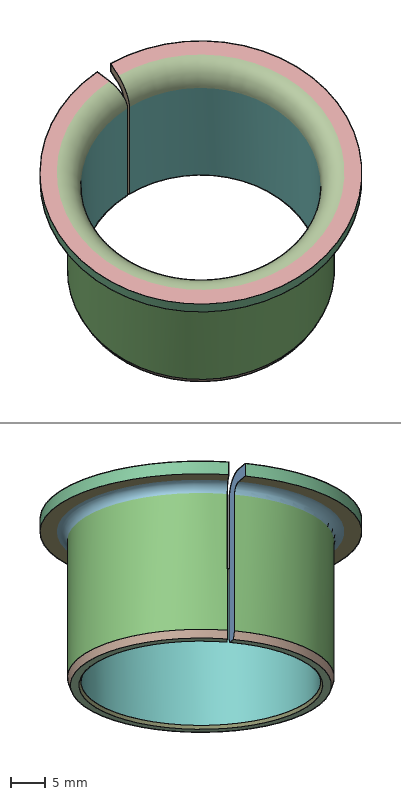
import cadquery as cq
import math

bore_diameter = 35.0
wall = 2.0
flange_diameter = 47.0
length = 26.0
inner_bend_radius = 3.5
chamfer_height = 1.2
chamfer_angle = 20.0
bore_chamfer_height = 0.5
bore_chamfer_width = 0.3
slit_gap_at_bore = 0.35
slit_side_angle = 10.0

bore_radius = bore_diameter / 2
body_radius = bore_radius + wall
flange_radius = flange_diameter / 2
outer_bend_radius = inner_bend_radius - wall
bend_center_r = bore_radius + inner_bend_radius
bend_center_z = length - inner_bend_radius
chamfer_width = chamfer_height * math.tan(math.radians(chamfer_angle))


def bend_midpoint(radius):
    """Point halfway along a quarter bend of the given radius, as (r, z)."""
    offset = radius * math.sqrt(0.5)
    return (bend_center_r - offset, bend_center_z + offset)


def make_bushing():
    """Flanged sleeve of constant wall, revolved about Z."""
    profile = (
        cq.Workplane("XZ")
        .moveTo(bore_radius, bore_chamfer_height)
        .lineTo(bore_radius + bore_chamfer_width, 0)
        .lineTo(body_radius - chamfer_width, 0)
        .lineTo(body_radius, chamfer_height)
        .lineTo(body_radius, bend_center_z)
        .threePointArc(bend_midpoint(outer_bend_radius), (bend_center_r, length - wall))
        .lineTo(flange_radius, length - wall)
        .lineTo(flange_radius, length)
        .lineTo(bend_center_r, length)
        .threePointArc(bend_midpoint(inner_bend_radius), (bore_radius, bend_center_z))
        .close()
    )
    ring = profile.revolve(360, (0, 0, 0), (0, 1, 0))
    return ring.rotate((0, 0, 0), (0, 0, 1), 180)


def make_slit():
    """Full-height wedge on the -X side that widens outward."""
    slope = math.tan(math.radians(slit_side_angle))
    apex_x = -bore_radius + slit_gap_at_bore / 2 / slope
    outer_x = -flange_diameter
    outer_half_gap = (apex_x - outer_x) * slope
    return (
        cq.Workplane("XY")
        .polyline([(apex_x, 0), (outer_x, outer_half_gap), (outer_x, -outer_half_gap)])
        .close()
        .extrude(length)
    )


result = make_bushing().cut(make_slit())